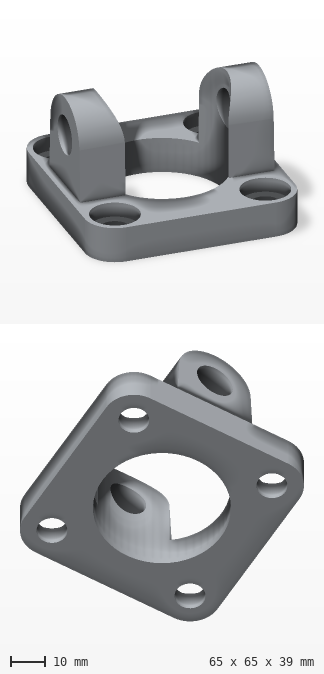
import cadquery as cq
import math

plate_side = 65.0
plate_height = 11.0
bore_diameter = 40.0

screw_spacing = 46.5
screw_diameter = 9.0
counterbore_diameter = 15.0
counterbore_depth = 4.5
corner_radius = (plate_side - screw_spacing) / 2

total_height = 39.0
lug_radius = 12.0
pin_diameter = 12.0
pin_height = total_height - lug_radius
lug_outer_y = 30.0
lug_inner_y = 16.0
lug_taper = math.radians(2.5)


def make_plate():
    return (
        cq.Workplane("XY")
        .box(plate_side, plate_side, plate_height, centered=(True, True, False))
        .edges("|Z")
        .fillet(corner_radius)
        .faces(">Z")
        .workplane()
        .rect(screw_spacing, screw_spacing, forConstruction=True)
        .vertices()
        .cboreHole(screw_diameter, counterbore_diameter, counterbore_depth)
    )


def make_lug():
    """Lug on the -Y side: straight flanks running tangent into a round top."""
    tangent_x = lug_radius * math.cos(lug_taper)
    tangent_z = pin_height + lug_radius * math.sin(lug_taper)
    foot_z = plate_height / 2
    foot_x = tangent_x + (tangent_z - foot_z) * math.tan(lug_taper)
    return (
        cq.Workplane("XZ", origin=(0, -lug_inner_y, 0))
        .moveTo(-foot_x, foot_z)
        .lineTo(foot_x, foot_z)
        .lineTo(tangent_x, tangent_z)
        .threePointArc((0, total_height), (-tangent_x, tangent_z))
        .close()
        .extrude(lug_outer_y - lug_inner_y)
    )


bore = cq.Workplane("XY").circle(bore_diameter / 2).extrude(total_height)

pin_hole = (
    cq.Workplane("XZ", origin=(0, 0, pin_height))
    .circle(pin_diameter / 2)
    .extrude(plate_side / 2, both=True)
)

lug = make_lug()
result = make_plate().union(lug).union(lug.mirror("XZ")).cut(bore).cut(pin_hole)